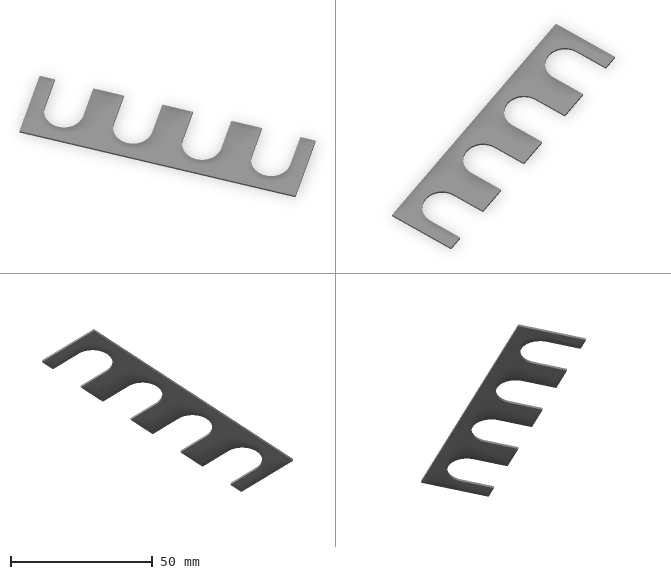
import cadquery as cq

length = 101.6
depth = 25.4
thickness = 0.8

slot_count = 4
slot_width = 14.1
web_height = 5.7

slot_pitch = length / slot_count
slot_radius = slot_width / 2
arc_center_y = web_height + slot_radius


def open_slot(center_x):
    """Cutter for one slot with a semicircular bottom."""
    return (
        cq.Workplane("XY")
        .moveTo(center_x - slot_radius, depth)
        .lineTo(center_x - slot_radius, arc_center_y)
        .threePointArc((center_x, web_height), (center_x + slot_radius, arc_center_y))
        .lineTo(center_x + slot_radius, depth)
        .close()
        .extrude(thickness)
    )


result = cq.Workplane("XY").box(length, depth, thickness, centered=False)
for index in range(slot_count):
    result = result.cut(open_slot((index + 0.5) * slot_pitch))